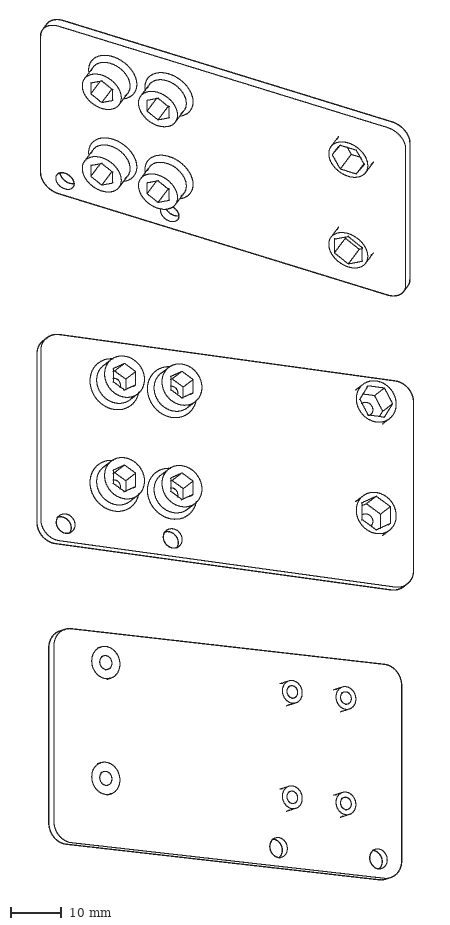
import cadquery as cq
import math

plate_length = 80.0
plate_height = 43.0
plate_thickness = 2.0
total_depth = 12.0
corner_radius = 4.0

plain_hole_diameter = 4.0
plain_hole_z = 3.8
plain_hole_xs = (5.4, 28.3)

boss_diameter = 8.6
boss_height = (total_depth - plate_thickness) / 2
lower_row_z = 13.0
nut_depth = boss_height

left_xs = (15.8, 28.2)
left_upper_z = 34.2
left_bore = 2.5
left_nut_flats = 4.8
left_spacer_diameter = 4.6
left_spacer_height = boss_height
cone_size = plate_thickness / 2

right_x = 69.8
right_upper_z = 36.3
right_bore = 2.8
right_nut_flats = 6.1
right_spacer_diameter = 6.5
right_spacer_height = boss_height - plate_thickness

foot_radius = 1.5


def front_plane(x, z, y=0.0):
    """Workplane facing +Y, with its local X along -X and its local Y along Z."""
    return cq.Workplane(cq.Plane((x, y, z), (-1, 0, 0), (0, 1, 0)))


def post(x, z, radius, height, foot, rounded, direction):
    """Round post on the plate, growing along direction (-1 front, +1 back) from a flared foot."""
    face_y = 0.0 if direction < 0 else plate_thickness
    root_y = plate_thickness / 2
    foot_y = face_y + direction * foot
    tip_y = face_y + direction * height
    profile = cq.Workplane("XY").moveTo(0, root_y)
    profile = profile.lineTo(radius + foot, root_y).lineTo(radius + foot, face_y)
    if rounded:
        inset = foot * (1 - math.sqrt(0.5))
        profile = profile.threePointArc(
            (radius + inset, face_y + direction * inset),
            (radius, foot_y),
        )
    else:
        profile = profile.lineTo(radius, foot_y)
    profile = profile.lineTo(radius, tip_y).lineTo(0, tip_y).close()
    return profile.revolve(360, (0, 0, 0), (0, 1, 0)).translate((x, 0, z))


def add_fastener(body, x, z, boss_foot, rounded, spacer, bore, nut_flats, nut_angle):
    """Add boss and spacer, then cut the hexagonal nut pocket and the through bore."""
    spacer_diameter, spacer_height = spacer
    body = body.union(post(x, z, boss_diameter / 2, boss_height, boss_foot, rounded, -1))
    body = body.union(post(x, z, spacer_diameter / 2, spacer_height, foot_radius, True, 1))
    nut_corners = nut_flats / math.cos(math.pi / 6)
    pocket = front_plane(x, z, -boss_height).transformed(rotate=(0, 0, nut_angle))
    pocket = pocket.polygon(6, nut_corners).extrude(nut_depth)
    drill = front_plane(x, z, -boss_height).circle(bore / 2)
    drill = drill.extrude(boss_height + plate_thickness + spacer_height)
    return body.cut(pocket).cut(drill)


result = cq.Workplane("XY").box(plate_length, plate_thickness, plate_height, centered=False)
result = result.edges("|Y").fillet(corner_radius)

for hole_x in plain_hole_xs:
    hole = front_plane(hole_x, plain_hole_z).circle(plain_hole_diameter / 2).extrude(plate_thickness)
    result = result.cut(hole)

left_spacer = (left_spacer_diameter, left_spacer_height)
for boss_x in left_xs:
    for boss_z in (lower_row_z, left_upper_z):
        result = add_fastener(
            result, boss_x, boss_z, cone_size, False, left_spacer, left_bore, left_nut_flats, 90
        )

right_spacer = (right_spacer_diameter, right_spacer_height)
for boss_z, nut_angle in ((lower_row_z, 90), (right_upper_z, 0)):
    result = add_fastener(
        result, right_x, boss_z, foot_radius, True, right_spacer, right_bore, right_nut_flats, nut_angle
    )